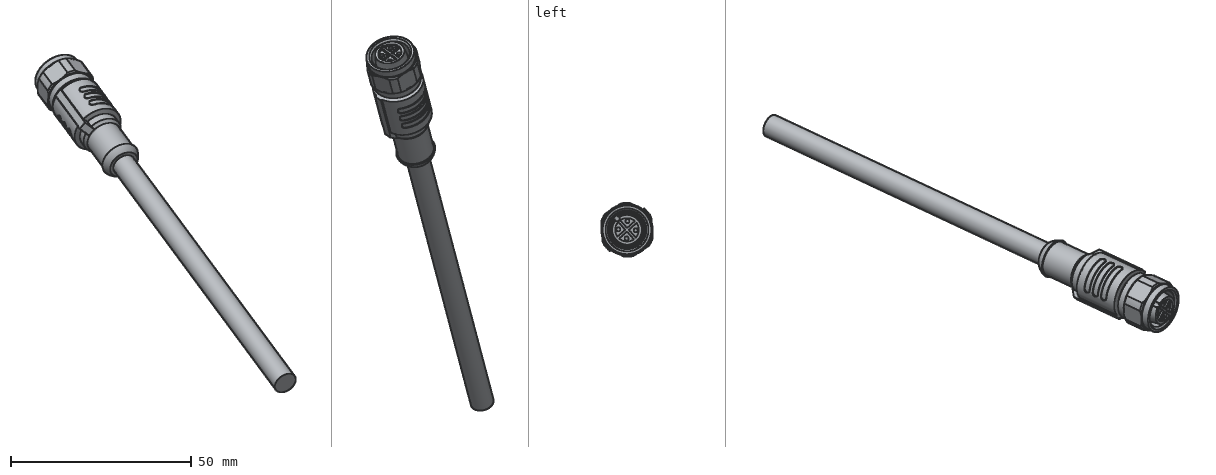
import cadquery as cq
import math

total_length = 141.9

body_roll = 3.0
nut_roll = -3.5

insert_face_radius = 4.1
insert_base_radius = 4.5
insert_draft_end = 2.8
pocket_count = 4
pocket_radius = 3.3
pocket_depth = 0.7
pocket_wall = 0.7
contact_circle_radius = 2.4
contact_radius = 0.5
contact_depth = 5.7
keyway_radius = 0.7
keyway_circle_radius = 4.1
keyway_depth = 7.1

nut_start = 0.5
nut_end = 11.4
nut_radius = 13.5 / 2
bore_radius = 5.4
bore_end = 8.5
mouth_chamfer = 0.5
seal_start = 7.1
seal_radius = 5.0
hex_start = 2.7
hex_end = 9.1
hex_across_flats = 14.0
hex_corner_radius = 7.5
hex_chamfer = 0.4

neck_radius = 5.0
body_start = 12.3
body_end = 25.8
body_end_slope = 0.5
body_radius = 14.3 / 2
shoulder_radius = 5.8
shoulder_taper_start = 28.7
sleeve_start = 29.7
sleeve_radius = 5.1
collar_start = 39.7
collar_radius = 5.5
collar_middle = 40.9
collar_middle_radius = 5.1
collar_end = 42.0
collar_end_radius = 4.3
cable_radius = 3.3

rib_height = 7.5
rib_width = 2.4
rib_slope_start = 27.5
rib_end = 29.7
rib_angle = 135.0 + body_roll

groove_width = 1.8
groove_depth = 0.3
groove_cut_clearance = 1.4
groove_pitch = 3.0
groove_count = 3
first_groove_x = 16.3
groove_sweep = 96.0
groove_mid_angle = 45.0 + body_roll


def turn(shape, angle):
    """Rotate a shape about the cable axis."""
    return shape.rotate((0, 0, 0), (1, 0, 0), angle)


def rod(start, end, radius):
    """Cylinder along the X axis."""
    return cq.Workplane("YZ", origin=(start, 0, 0)).circle(radius).extrude(end - start)


def revolved(points):
    """Revolve a closed (x, radius) outline about the X axis."""
    return cq.Workplane("XY").polyline(points).close().revolve(360, (0, 0, 0), (1, 0, 0))


def make_nut():
    barrel = rod(nut_start, nut_end, nut_radius)
    prism = (
        cq.Workplane("YZ", origin=(hex_start, 0, 0))
        .polygon(6, hex_across_flats / math.cos(math.pi / 6))
        .extrude(hex_end - hex_start)
    )
    corner_limit = rod(hex_start, hex_end, hex_corner_radius).edges().chamfer(hex_chamfer)
    grip = turn(prism.intersect(corner_limit), 30 + nut_roll)
    bore = rod(0, bore_end, bore_radius)
    mouth = revolved([
        (nut_start, 0),
        (nut_start, bore_radius + mouth_chamfer),
        (nut_start + mouth_chamfer, bore_radius),
        (nut_start + mouth_chamfer, 0),
    ])
    return barrel.union(grip).cut(bore).cut(mouth)


def make_insert():
    """Socket face with sector pockets, contact holes and an edge keyway."""
    insert = revolved([
        (0, 0),
        (0, insert_face_radius),
        (insert_draft_end, insert_base_radius),
        (bore_end, insert_base_radius),
        (bore_end, 0),
    ])
    insert = insert.union(rod(seal_start, bore_end, seal_radius))

    pockets = rod(0, pocket_depth, pocket_radius)
    wall = cq.Workplane("XY").box(2 * pocket_depth, 2 * pocket_radius, pocket_wall)
    for wall_angle in (45, 135):
        pockets = pockets.cut(turn(wall, wall_angle))
    insert = insert.cut(turn(pockets, body_roll))

    contact = rod(0, contact_depth, contact_radius).translate((0, contact_circle_radius, 0))
    for i in range(pocket_count):
        insert = insert.cut(turn(contact, i * 360 / pocket_count + body_roll))

    keyway = rod(0, keyway_depth, keyway_radius).translate((0, keyway_circle_radius, 0))
    return insert.cut(turn(keyway, 45 + body_roll))


def make_body():
    outline = (
        cq.Workplane("XY")
        .moveTo(bore_end, 0)
        .lineTo(bore_end, neck_radius)
        .lineTo(body_start, neck_radius)
        .lineTo(body_start, body_radius)
        .lineTo(body_end, body_radius)
        .lineTo(body_end + body_end_slope, shoulder_radius)
        .lineTo(shoulder_taper_start, shoulder_radius)
        .lineTo(sleeve_start, sleeve_radius)
        .lineTo(collar_start, sleeve_radius)
        .lineTo(collar_start, collar_radius)
        .threePointArc((collar_middle, collar_middle_radius), (collar_end, collar_end_radius))
        .lineTo(collar_end, cable_radius)
        .lineTo(total_length, cable_radius)
        .lineTo(total_length, 0)
        .close()
    )
    return outline.revolve(360, (0, 0, 0), (1, 0, 0))


def make_rib():
    """Flat-topped rib along +Y that slopes down to the sleeve."""
    return (
        cq.Workplane("XY")
        .polyline([
            (body_start, 0),
            (body_start, rib_height),
            (rib_slope_start, rib_height),
            (rib_end, sleeve_radius),
            (rib_end, 0),
        ])
        .close()
        .extrude(rib_width / 2, both=True)
    )


def make_groove():
    """Round-ended groove wrapped around the body, centred on +Y."""
    half_width = groove_width / 2
    floor_radius = body_radius - groove_depth
    cutter_radius = body_radius + groove_cut_clearance
    end_angle = groove_sweep / 2 - math.degrees(half_width / body_radius)
    end_y = cutter_radius * math.cos(math.radians(end_angle))
    end_z = cutter_radius * math.sin(math.radians(end_angle))
    sector = (
        cq.Workplane("YZ", origin=(-half_width, 0, 0))
        .lineTo(end_y, -end_z)
        .threePointArc((cutter_radius, 0), (end_y, end_z))
        .close()
        .extrude(groove_width)
    )
    round_end = cq.Workplane("XZ").circle(half_width).extrude(-cutter_radius)
    for side in (-1, 1):
        sector = sector.union(turn(round_end, side * end_angle))
    return sector.cut(rod(-2 * half_width, 2 * half_width, floor_radius))


result = make_body().union(make_nut()).union(make_insert())
for half_turn in (0, 180):
    result = result.union(turn(make_rib(), rib_angle + half_turn))
groove = make_groove()
for half_turn in (0, 180):
    for i in range(groove_count):
        placed = turn(groove, groove_mid_angle + half_turn)
        result = result.cut(placed.translate((first_groove_x + i * groove_pitch, 0, 0)))